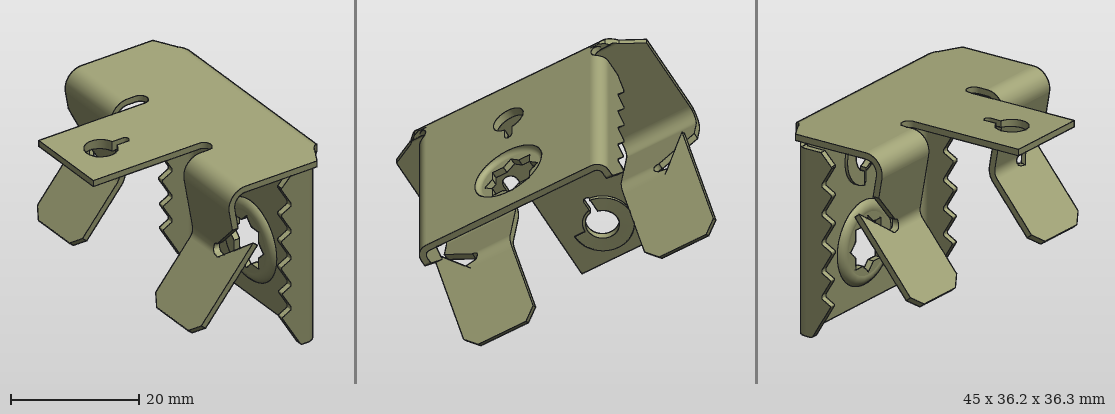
import cadquery as cq
import math

length = 36.15
height = 36.3
sheet = 1.1
bend_inner = 1.0
bend_outer = bend_inner + sheet

half_width = 22.5
edge_offset = 0.15
plate_left = -half_width
plate_right = half_width - edge_offset
tongue_half = 7.47
flap_inside = 10.0
slot_end = -14.75
corner_depth = 4.1
corner_half_width = 18.7
bend_corner_half_width = 17.1
bend_corner_depth = 0.4
neck_half_width = 16.2

flap_bend_start = -17.6
flap_bend_outer = 3.15
leg_angle = 10.0
leg_length = 10.3
blade_angle = 40.0
blade_length = 13.0
ear_length = 4.15
ear_foot = 17.45
blade_bend_inner = 2.1
blade_chamfer_x = 2.0
blade_chamfer_z = 1.85
leg_chamfer_top = -7.02
leg_chamfer_bottom = -12.7
relief_x = 16.75
relief_radius = 0.9

channel_half = 16.85
wing_top = -4.75
wing_reach = 6.95
wing_corner = 2.0
notch_floor = 5.15
notch_flat = 0.5
notch_pitch = 4.8
first_notch = -10.55
notch_count = 4
last_notch = -29.3
tooth_angle = 31.0
gap_angle = 28.0
tooth_round = 0.23
wing_toe = 3.25
wing_toe_round = 0.55

keyhole_radius = 2.65
keyhole_slot = 1.25
keyhole_reach = 5.2
plate_hole_y = -29.55
wall_hole_z = -11.3
ramp_radius = 5.0
ramp_inside = 2.25
slot_angle = -90
lip_turn = 0.25
ramp_root = 0.9
ramp_height = 0.68
lip_radius = 3.1

boss_z = -26.25
boss_radius = 7.05
boss_face_radius = 5.2
boss_height = 0.9
star_square = 6.65


def extrude_x(outline, x_low, x_high):
    return outline.extrude(x_high - x_low).translate((x_low, 0, 0))


def both_sides(shape):
    return shape.union(shape.mirror("YZ"))


def make_plate():
    """Plate and rear bend, with open slots beside the tongue and slanted rear corners."""
    profile = (
        cq.Workplane("YZ")
        .moveTo(flap_bend_start, 0)
        .lineTo(-bend_outer, 0)
        .radiusArc((0, -bend_outer), bend_outer)
        .lineTo(-sheet, -bend_outer)
        .radiusArc((-bend_outer, -sheet), -bend_inner)
        .lineTo(flap_bend_start, -sheet)
        .close()
    )
    plate = extrude_x(profile, plate_left, plate_right)
    tongue = cq.Workplane("XY").box(
        2 * tongue_half, length + flap_bend_start, sheet, centered=(True, False, False)
    ).translate((0, -length, -sheet))
    slot_width = flap_inside - tongue_half
    slot_y = slot_end - slot_width / 2
    slot = (
        cq.Workplane("XY")
        .moveTo(tongue_half, slot_y)
        .threePointArc((tongue_half + slot_width / 2, slot_end), (flap_inside, slot_y))
        .lineTo(flap_inside, -length)
        .lineTo(tongue_half, -length)
        .close()
        .extrude(-sheet)
    )
    corner = (
        cq.Workplane("XY")
        .moveTo(half_width, -corner_depth)
        .lineTo(corner_half_width, -bend_outer)
        .lineTo(bend_corner_half_width, -bend_corner_depth)
        .lineTo(neck_half_width, 0)
        .lineTo(half_width, 0)
        .close()
        .extrude(-bend_outer)
    )
    return plate.union(tongue).cut(both_sides(slot)).cut(both_sides(corner))


def make_notch(floor_z):
    """Gap between two teeth, as a prism across the whole part."""
    depth = 1.2 * (wing_reach - notch_floor)
    upper = floor_z + notch_flat + depth / math.tan(math.radians(tooth_angle))
    lower = floor_z - depth * math.tan(math.radians(gap_angle))
    outline = cq.Workplane("YZ").polyline([
        (-notch_floor, floor_z),
        (-notch_floor, floor_z + notch_flat),
        (-notch_floor - depth, upper),
        (-notch_floor - depth, lower),
    ]).close()
    return extrude_x(outline, -half_width, half_width)


def make_channel():
    """Wall with both wings bent forward, teeth along the wing edges."""
    wall_top = -bend_outer
    outer = cq.Workplane("XY").box(
        2 * channel_half, wing_reach, height - bend_outer, centered=(True, False, False)
    ).translate((0, -wing_reach, -height)).edges("|Z and >Y").fillet(bend_outer)
    inner = cq.Workplane("XY").box(
        2 * (channel_half - sheet), wing_reach, height, centered=(True, False, False)
    ).translate((0, -wing_reach - sheet, -height)).edges("|Z and >Y").fillet(bend_inner)

    toe_height = (wing_reach - wing_toe) / math.tan(math.radians(tooth_angle))
    side = cq.Workplane("YZ").polyline([
        (0, wall_top),
        (-sheet, wall_top),
        (-sheet, wing_top),
        (wing_corner - wing_reach, wing_top),
        (-wing_reach, wing_top - wing_corner),
        (-wing_reach, toe_height - height),
        (-wing_toe, -height),
        (0, -height),
    ]).close()
    side = extrude_x(side, -half_width, half_width)
    toe_edge = cq.selectors.NearestToPointSelector((0, -wing_toe, -height))
    side = side.edges(toe_edge).fillet(wing_toe_round)
    floors = [first_notch - i * notch_pitch for i in range(notch_count)] + [last_notch]
    for floor_z in floors:
        side = side.cut(make_notch(floor_z))
    tooth_edges = cq.selectors.BoxSelector(
        (-half_width, -length, -height),
        (half_width, -(notch_floor + wing_toe) / 2, first_notch + notch_pitch / 2),
    )
    side = side.edges(tooth_edges).fillet(tooth_round)

    relief_depth = (wall_top - wing_top) / 2
    relief = (
        cq.Workplane("XZ")
        .moveTo(neck_half_width, wall_top)
        .threePointArc((neck_half_width - relief_depth, wing_top + relief_depth),
                       (neck_half_width, wing_top))
        .lineTo(half_width, wing_top)
        .lineTo(half_width, wall_top)
        .close()
        .extrude(wing_reach)
    )
    return outer.cut(inner).intersect(side).cut(both_sides(relief))


def make_flap(leg_outside, blade_outside):
    """Right-hand flap, its leg and its blade each reaching out to their own X."""
    lean = math.radians(leg_angle)
    tilt = math.radians(blade_angle)
    centre = (flap_bend_start, -flap_bend_outer)
    inner_radius = flap_bend_outer - sheet

    def on_bend(radius, angle):
        return (centre[0] - radius * math.cos(angle), centre[1] - radius * math.sin(angle))

    leg_dir = (math.sin(lean), -math.cos(lean))
    blade_dir = (-math.sin(tilt), -math.cos(tilt))
    leg_start = on_bend(flap_bend_outer, lean)
    corner = (leg_start[0] + leg_length * leg_dir[0], leg_start[1] + leg_length * leg_dir[1])
    tangent = blade_bend_inner * math.tan((lean + tilt) / 2)

    leg_end = (corner[0] - tangent * leg_dir[0], corner[1] - tangent * leg_dir[1])
    blade_top = (corner[0] + tangent * blade_dir[0], corner[1] + tangent * blade_dir[1])
    leg_back = (math.cos(lean) * sheet, math.sin(lean) * sheet)
    blade_back = (math.cos(tilt) * sheet, -math.sin(tilt) * sheet)
    leg_profile = (
        cq.Workplane("YZ")
        .moveTo(flap_bend_start, 0)
        .threePointArc(on_bend(flap_bend_outer, -math.pi / 4), leg_start)
        .lineTo(*leg_end)
        .radiusArc(blade_top, blade_bend_inner)
        .lineTo(blade_top[0] + blade_back[0], blade_top[1] + blade_back[1])
        .radiusArc((leg_end[0] + leg_back[0], leg_end[1] + leg_back[1]), -blade_bend_inner - sheet)
        .lineTo(*on_bend(inner_radius, lean))
        .threePointArc(on_bend(inner_radius, -math.pi / 4), (flap_bend_start, -sheet))
        .close()
    )
    leg = extrude_x(leg_profile, flap_inside, leg_outside)
    relief_z = leg_chamfer_bottom - relief_radius
    notch = (
        cq.Workplane("XZ")
        .moveTo(half_width, leg_chamfer_top)
        .lineTo(relief_x, leg_chamfer_bottom)
        .threePointArc((relief_x - relief_radius, relief_z), (relief_x, relief_z - relief_radius))
        .lineTo(half_width, relief_z - 2 * relief_radius)
        .close()
        .extrude(length)
    )
    blade_plane = cq.Plane(
        origin=(0, corner[0], corner[1]),
        xDir=(1, 0, 0),
        normal=(0, -math.cos(tilt), math.sin(tilt)),
    )
    blade = cq.Workplane(blade_plane).polyline([
        (flap_inside, -tangent),
        (ear_foot, -tangent),
        (blade_outside, ear_length),
        (blade_outside, blade_chamfer_z - blade_length),
        (blade_outside - blade_chamfer_x, -blade_length),
        (flap_inside + blade_chamfer_x, -blade_length),
        (flap_inside, blade_chamfer_z - blade_length),
    ]).close().extrude(-sheet)
    return leg.cut(notch).union(blade)


def keyhole_cutter(tool_length):
    """Keyhole along Z with its slot pointing to -Y, centred on the origin."""
    hole = cq.Workplane("XY").circle(keyhole_radius).extrude(tool_length, both=True)
    slot_straight = keyhole_reach - keyhole_slot / 2
    slot = cq.Workplane("XY").center(0, -slot_straight / 2).rect(keyhole_slot, slot_straight)
    tip = cq.Workplane("XY").center(0, -slot_straight).circle(keyhole_slot / 2)
    return hole.union(slot.extrude(tool_length, both=True)).union(tip.extrude(tool_length, both=True))


def helical_ramp(radius, turn_start, turn_end):
    """Piece of a ramp on the plane Z = 0 that rises anticlockwise over one turn from the slot."""
    turn = turn_end - turn_start
    low = ramp_height * turn_start
    helix = cq.Wire.makeHelix(ramp_height, ramp_height * turn, radius)
    section = cq.Workplane("XZ").polyline([
        (ramp_inside, low),
        (radius, low),
        (radius, low - ramp_root),
        (ramp_inside, low - ramp_root),
    ]).close()
    ramp = section.sweep(cq.Workplane(obj=helix), isFrenet=True)
    return ramp.rotate((0, 0, 0), (0, 0, 1), slot_angle + 360 * turn_start)


def star_hole(tool_length):
    square = cq.Workplane("XZ").rect(star_square, star_square).extrude(tool_length, both=True)
    return square.union(square.rotate((0, 0, 0), (0, 1, 0), 45)).translate((0, 0, boss_z))


def boss_body(base_radius, base_y):
    """Cup standing forward from Y = base_y, with a rounded flank."""
    flank = base_radius - boss_face_radius
    return (
        cq.Workplane("XY")
        .moveTo(0, base_y)
        .lineTo(base_radius, base_y)
        .threePointArc(
            (base_radius - flank * (1 - math.sqrt(0.5)), base_y - boss_height * math.sqrt(0.5)),
            (boss_face_radius, base_y - boss_height),
        )
        .lineTo(0, base_y - boss_height)
        .close()
        .revolve(360, (0, 0), (0, 1))
        .translate((0, 0, boss_z))
    )


result = make_plate().union(make_channel())
result = result.union(make_flap(plate_right, half_width))
result = result.union(make_flap(-plate_left, half_width - edge_offset).mirror("YZ"))

keyhole = keyhole_cutter(2 * sheet)
ramp = helical_ramp(ramp_radius, lip_turn, 1).union(helical_ramp(lip_radius, 0, lip_turn))
for tilt_angle, spot in (
    (90, (0, -sheet, wall_hole_z)),
    (180, (0, plate_hole_y, -sheet)),
):
    turn_about_x = ((0, 0, 0), (1, 0, 0), tilt_angle)
    result = result.union(ramp.rotate(*turn_about_x).translate(spot))
    result = result.cut(keyhole.rotate(*turn_about_x).translate(spot))

result = result.union(boss_body(boss_radius, -sheet))
result = result.cut(boss_body(boss_radius - sheet, 0))
result = result.cut(star_hole(boss_radius)).solids()